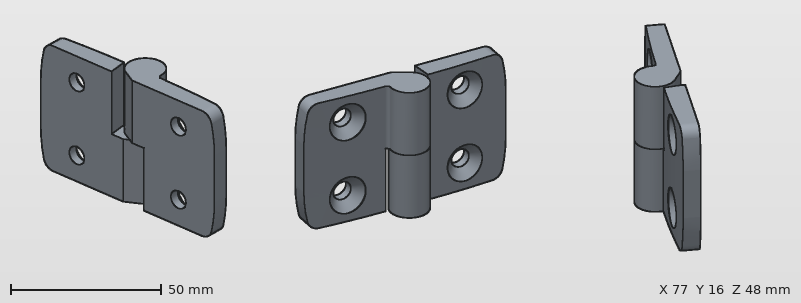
import cadquery as cq
import math


half_width = 38.5
half_height = 24.0
flat_half_height = 9.0
end_bow_radius = 52.0
corner_radius = 4.3

crown_start_x = 8.0
root_thickness = 7.4
end_thickness = 6.0

knuckle_radius = 7.0
axis_y = 9.0
ramp_foot_x = 2.0
fillet_radius = 1.3

relief_bottom_x = 7.1

hole_x = 22.5
hole_z = 14.0
hole_diameter = 6.6
sink_diameter = 13.8
sink_angle = 90.0

crown_run = half_width - crown_start_x
crown_drop = root_thickness - end_thickness
crown_radius = (crown_run**2 + crown_drop**2) / (2 * crown_drop)


def crown_y(x):
    """Height of the crowned back above the mounting face at x."""
    return root_thickness - crown_radius + math.sqrt(crown_radius**2 - (x - crown_start_x) ** 2)


def extrude_up(section, bottom_z):
    """Extrude a closed XY section by one half height from bottom_z."""
    return section.extrude(half_height).translate((0, 0, bottom_z))


def crowned_start(foot_x):
    """Begin a section at its foot, along the mounting face and back over the crown."""
    middle_x = (half_width + crown_start_x) / 2
    return (
        cq.Workplane("XY")
        .moveTo(foot_x, 0)
        .lineTo(half_width, 0)
        .lineTo(half_width, end_thickness)
        .threePointArc((middle_x, crown_y(middle_x)), (crown_start_x, root_thickness))
    )


def knuckle_half():
    """Upper half of the leaf: plate and knuckle in one section."""
    foot_distance = math.hypot(ramp_foot_x, axis_y)
    tangent_angle = (
        math.atan2(-axis_y, ramp_foot_x) - math.acos(knuckle_radius / foot_distance)
    )
    tangent_x = knuckle_radius * math.cos(tangent_angle)
    tangent_y = axis_y + knuckle_radius * math.sin(tangent_angle)
    section = (
        crowned_start(ramp_foot_x)
        .lineTo(knuckle_radius, root_thickness)
        .lineTo(knuckle_radius, axis_y)
        .threePointArc((-knuckle_radius, axis_y), (tangent_x, tangent_y))
        .close()
    )
    return extrude_up(section, 0)


def relieved_half():
    """Lower half of the leaf: plate only, ending at the slanted relief edge."""
    section = crowned_start(relief_bottom_x).close()
    return extrude_up(section, -half_height)


def outline_block():
    """Block with the leaf's outline along Y, used to trim the outer end."""
    inner_x = -2 * knuckle_radius
    depth = 2 * (axis_y + knuckle_radius)

    def bow_x(z):
        past_flat = z - flat_half_height
        return half_width - end_bow_radius + math.sqrt(end_bow_radius**2 - past_flat**2)

    middle_z = (flat_half_height + half_height) / 2
    middle_x = bow_x(middle_z)
    tip_x = bow_x(half_height)
    blank = (
        cq.Workplane("XZ")
        .moveTo(inner_x, -half_height)
        .lineTo(tip_x, -half_height)
        .threePointArc((middle_x, -middle_z), (half_width, -flat_half_height))
        .lineTo(half_width, flat_half_height)
        .threePointArc((middle_x, middle_z), (tip_x, half_height))
        .lineTo(inner_x, half_height)
        .close()
        .extrude(depth, both=True)
    )
    corner_edges = blank.faces(">Z or <Z").edges("|Y").edges(">X")
    return corner_edges.fillet(corner_radius)


def screw_hole_cutter():
    """Hole through the plate, opening as a countersink on the crowned back."""
    hole_radius = hole_diameter / 2
    sink_radius = sink_diameter / 2
    back_y = crown_y(hole_x)
    sink_depth = (sink_radius - hole_radius) / math.tan(math.radians(sink_angle / 2))
    return (
        cq.Workplane("XY")
        .lineTo(hole_radius, 0)
        .lineTo(hole_radius, back_y - sink_depth)
        .lineTo(sink_radius, back_y)
        .lineTo(sink_radius, axis_y)
        .lineTo(0, axis_y)
        .close()
        .revolve(360, (0, 0, 0), (0, 1, 0))
    )


def knuckle_fillet():
    """Concave filler, over one knuckle's length, between the knuckle's side and the back."""
    back_x = knuckle_radius + fillet_radius
    side_y = root_thickness + fillet_radius
    arc_reach = fillet_radius * math.sqrt(0.5)
    section = (
        cq.Workplane("XY")
        .moveTo(knuckle_radius, root_thickness)
        .lineTo(crown_start_x, root_thickness)
        .lineTo(back_x, crown_y(back_x))
        .threePointArc((back_x - arc_reach, side_y - arc_reach), (knuckle_radius, side_y))
        .close()
    )
    return extrude_up(section, 0)


def hinge_leaf():
    """Leaf on the +X side, with its knuckle in the upper half."""
    leaf = knuckle_half().union(relieved_half()).intersect(outline_block())
    for z in (-hole_z, hole_z):
        leaf = leaf.cut(screw_hole_cutter().translate((hole_x, 0, z)))
    return leaf


plain_leaf = hinge_leaf()
right_leaf = plain_leaf.union(knuckle_fillet())
left_leaf = plain_leaf.rotate((0, 0, 0), (0, 1, 0), 180)

result = cq.Compound.makeCompound([right_leaf.val(), left_leaf.val()])